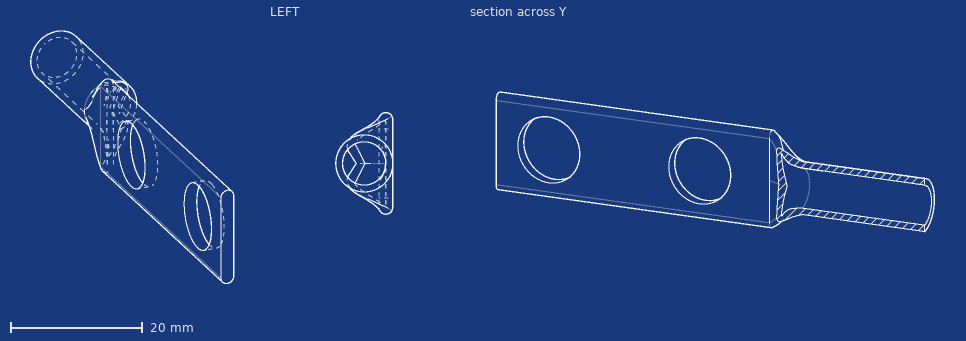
import cadquery as cq
import math

length = 72.9
barrel_diameter = 8.7
wall = 1.06
barrel_length = 20.55
transition_length = 6.3
palm_width = 15.45

hole_diameter = 10.4
first_hole_x = 38.6
hole_spacing = 25.45

fold_outer_y = 1.25
fold_inner_y = -0.11
fold_root_y = 2.4
fold_root_z = 1.8
fold_crest_y = 2.55
fold_crest_z = 2.9
fold_shoulder_y = 1.4

flank_y = -2.55
flat_start_z = 0.4
shoulder_angle = 60

closed_gap = 0.04
transition_steps = 4

sink_delay = 1.25

outer_radius = barrel_diameter / 2
bore_radius = outer_radius - wall
palm_thickness = 2 * wall
palm_start = barrel_length + transition_length
palm_center_y = wall - outer_radius
palm_edge_z = palm_width / 2 - wall


def point_on_circle(radius, y):
    return (y, math.sqrt(radius**2 - y**2))


def palm_edge_point(angle):
    """Point on the palm's rounded edge, turned from its outermost point toward the back."""
    turn = math.radians(angle)
    return (palm_center_y - wall * math.sin(turn), palm_edge_z + wall * math.cos(turn))


outer_start = [
    (fold_outer_y, 0),
    (fold_root_y, fold_root_z),
    (fold_crest_y, fold_crest_z),
    point_on_circle(outer_radius, fold_shoulder_y),
    point_on_circle(outer_radius, flank_y),
    (-math.sqrt(outer_radius**2 - flat_start_z**2), flat_start_z),
]
outer_end = [
    (palm_center_y + wall, 0),
    (palm_center_y + wall, palm_edge_z),
    (palm_center_y, palm_width / 2),
    palm_edge_point(shoulder_angle),
    palm_edge_point((shoulder_angle + 90) / 2),
    palm_edge_point(90),
]
cavity_start = [
    (fold_inner_y, 0),
    point_on_circle(bore_radius, fold_shoulder_y),
    (-bore_radius, 0),
]
cavity_end = [
    (palm_center_y + closed_gap / 2, 0),
    (palm_center_y + closed_gap / 2, palm_edge_z),
    (palm_center_y - closed_gap / 2, 0),
]


def mirrored(point):
    return (point[0], -point[1])


def blend(start, end, fraction):
    """Sink along Y with no slope at either end; widen along Z a little ahead of the sinking."""
    delayed = fraction**sink_delay
    sink = delayed**2 * (3 - 2 * delayed)
    widen = (fraction + sink) / 2
    return [
        (a[0] + (b[0] - a[0]) * sink, a[1] + (b[1] - a[1]) * widen)
        for a, b in zip(start, end)
    ]


def at(x, point):
    return cq.Vector(x, *point)


def line(x, start, end):
    return cq.Edge.makeLine(at(x, start), at(x, end))


def arc(x, start, middle, end):
    return cq.Edge.makeThreePointArc(at(x, start), at(x, middle), at(x, end))


def outer_wire(x, points):
    """V fold, rounded side edges, rounded flanks and a flat back."""
    fold, root, crest, shoulder, flank, flat = points
    return cq.Wire.assembleEdges([
        line(x, fold, root),
        arc(x, root, crest, shoulder),
        arc(x, shoulder, flank, flat),
        line(x, flat, mirrored(flat)),
        arc(x, mirrored(flat), mirrored(flank), mirrored(shoulder)),
        arc(x, mirrored(shoulder), mirrored(crest), mirrored(root)),
        line(x, mirrored(root), fold),
    ])


def cavity_wire(x, points):
    """V fold closed by a curved back."""
    fold, root, back = points
    return cq.Wire.assembleEdges([
        line(x, fold, root),
        arc(x, root, back, mirrored(root)),
        line(x, mirrored(root), fold),
    ])


def transition(section_wire, start, end):
    wires = []
    for step in range(transition_steps + 1):
        fraction = step / transition_steps
        x = barrel_length + transition_length * fraction
        wires.append(section_wire(x, blend(start, end, fraction)))
    return cq.Workplane(obj=cq.Solid.makeLoft(wires))


def make_palm():
    palm_length = length - palm_start
    palm = (
        cq.Workplane("YZ", origin=(palm_start, palm_center_y, 0))
        .slot2D(palm_width, palm_thickness, 90)
        .extrude(palm_length)
    )
    holes = (
        cq.Workplane("XZ")
        .pushPoints([(first_hole_x, 0), (first_hole_x + hole_spacing, 0)])
        .circle(hole_diameter / 2)
        .extrude(barrel_diameter, both=True)
    )
    return palm.cut(holes)


barrel = cq.Workplane("YZ").circle(outer_radius).extrude(barrel_length)
bore = cq.Workplane("YZ").circle(bore_radius).extrude(barrel_length)
body = barrel.union(transition(outer_wire, outer_start, outer_end)).union(make_palm())
result = body.cut(bore).cut(transition(cavity_wire, cavity_start, cavity_end))